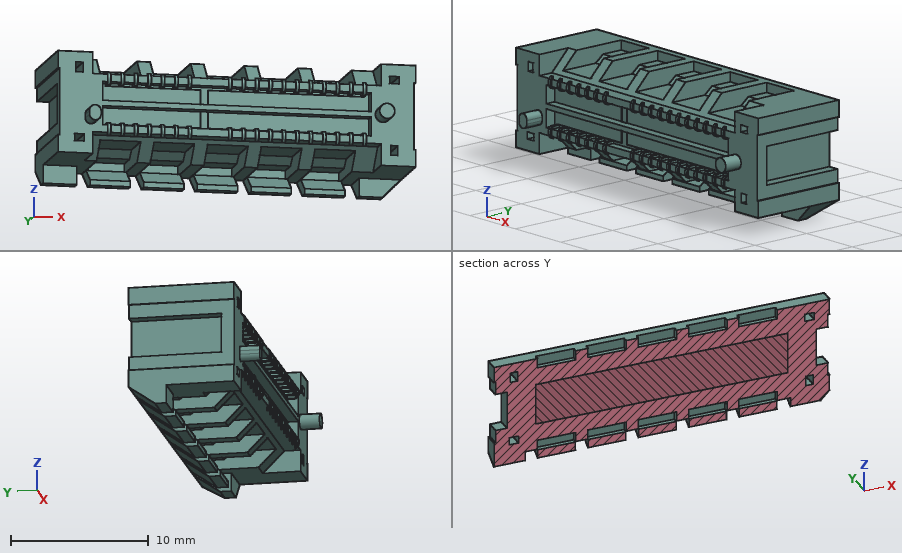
import cadquery as cq


LENGTH = 26.6
DEPTH = 7.82
HEIGHT = 7.5
MID_Z = HEIGHT / 2

END_BAND = 1.28
END_STEP = 0.13
END_POCKET_HEIGHT = 2.93
END_POCKET_DEPTH = 1.05
END_POCKET_FRONT = 0.95

RELIEF_LENGTH = 21.45
RELIEF_DEPTH = 1.6
LIP_DEPTH = 1.2
RELIEF_BACK = LIP_DEPTH + RELIEF_DEPTH
LIP_THICKNESS = 0.55

WINDOW_COUNT = 5
WINDOW_WIDTH = 3.0
WINDOW_PITCH = 4.0
WINDOW_ROW_X = -0.35
WINDOW_BACK = 7.13
WINDOW_STEP_BACK = 5.37
WINDOW_STEP_FRONT = 4.65
WINDOW_SHALLOW = 0.75
WINDOW_DEEP = 1.3

FOOT_HEIGHT = 1.35
FOOT_FRONT = 5.03
FOOT_TIP_BACK = 5.85
TAB_NOSE = 0.4
TAB_SLOPE = FOOT_HEIGHT / (DEPTH - FOOT_TIP_BACK)
TAB_ROOT_FRONT = FOOT_FRONT + (FOOT_HEIGHT - TAB_NOSE) / TAB_SLOPE
LEFT_FOOT_WIDTH = 2.5
RIGHT_FOOT_WIDTH = 3.1

HOLE_X = 11.7
HOLE_RISE = 2.6
HOLE_LONG = 0.72
HOLE_SHORT = 0.53

PEG_LENGTH = 1.5
PEG_DIAMETER = 1.12
PEG_X = 10.85
OVAL_PEG_WIDTH = 0.85
OVAL_PEG_DROP = 1.0

SLOT_LENGTH = 19.95
SLOT_DEPTH = 0.8
BAR_HEIGHT = 0.4
SLOT_OUTER = MID_Z - RELIEF_DEPTH - LIP_THICKNESS
LEDGE_HEIGHT = 0.19
LEDGE_RISE = 0.08
RIB_X = -2.25
RIB_WIDTH = 0.55

CONTACT_WIDTH = 0.25
CONTACT_POSITIONS = 20
CONTACT_SPAN = 19.0
CONTACT_PITCH = CONTACT_SPAN / (CONTACT_POSITIONS - 1)
EMPTY_POSITIONS = (7, 8)
LEDGE_LENGTH = CONTACT_SPAN + CONTACT_WIDTH
CONTACT_BULGE = 0.13
CONTACT_BACK = 0.15
CONTACT_OVERHANG = 0.19


def box(x_min, x_max, y_min, y_max, z_min, z_max):
    return cq.Workplane("XY").box(
        x_max - x_min, y_max - y_min, z_max - z_min, centered=False
    ).translate((x_min, y_min, z_min))


def side_prism(points, x_min, x_max):
    """Extrude a (y, z) outline along X."""
    return cq.Workplane("YZ").polyline(points).close().extrude(x_max - x_min).translate((x_min, 0, 0))


def top_and_bottom(upper):
    """Pair an upper shape with its mirror image about the middle height."""
    return upper.union(upper.mirror("XY", (0, 0, MID_Z)))


def both_ends(right):
    return right.union(right.mirror("YZ"))


def window_spans():
    """Left and right X of every latch window."""
    first = WINDOW_ROW_X - WINDOW_PITCH * (WINDOW_COUNT - 1) / 2
    centres = [first + i * WINDOW_PITCH for i in range(WINDOW_COUNT)]
    return [(x - WINDOW_WIDTH / 2, x + WINDOW_WIDTH / 2) for x in centres]


def end_cuts():
    right_end = LENGTH / 2
    step = box(right_end - END_STEP, right_end, 0, DEPTH, END_BAND, HEIGHT - END_BAND)
    pocket = box(
        right_end - END_POCKET_DEPTH, right_end,
        END_POCKET_FRONT, DEPTH,
        MID_Z - END_POCKET_HEIGHT / 2, MID_Z + END_POCKET_HEIGHT / 2,
    )
    return both_ends(step.union(pocket))


def lip_reliefs():
    outline = [
        (0, HEIGHT),
        (0, HEIGHT - RELIEF_DEPTH),
        (LIP_DEPTH, HEIGHT - RELIEF_DEPTH),
        (RELIEF_BACK, HEIGHT),
    ]
    return top_and_bottom(side_prism(outline, -RELIEF_LENGTH / 2, RELIEF_LENGTH / 2))


def windows():
    shallow_z = HEIGHT - WINDOW_SHALLOW
    deep_z = HEIGHT - WINDOW_DEEP
    outline = [
        (LIP_DEPTH, HEIGHT),
        (LIP_DEPTH, deep_z),
        (WINDOW_STEP_FRONT, deep_z),
        (WINDOW_STEP_BACK, shallow_z),
        (WINDOW_BACK, shallow_z),
        (WINDOW_BACK, HEIGHT),
    ]
    row = cq.Workplane()
    for left, right in window_spans():
        row = row.add(side_prism(outline, left, right))
    return top_and_bottom(row.combine())


def latch_tabs():
    outline = [
        (TAB_ROOT_FRONT, 0),
        (DEPTH, 0),
        (FOOT_TIP_BACK, -FOOT_HEIGHT),
        (FOOT_FRONT, -FOOT_HEIGHT),
        (FOOT_FRONT, TAB_NOSE - FOOT_HEIGHT),
    ]
    tabs = cq.Workplane()
    for left, right in window_spans():
        tabs = tabs.add(side_prism(outline, left, right))
    return tabs.combine()


def feet():
    outline = [
        (FOOT_FRONT, 0),
        (DEPTH, 0),
        (FOOT_TIP_BACK, -FOOT_HEIGHT),
        (FOOT_FRONT, -FOOT_HEIGHT),
    ]
    left_foot = side_prism(outline, -LENGTH / 2, -LENGTH / 2 + LEFT_FOOT_WIDTH)
    right_foot = side_prism(outline, LENGTH / 2 - RIGHT_FOOT_WIDTH, LENGTH / 2)
    corner = (
        cq.Workplane("XZ")
        .polyline([
            (LENGTH / 2, 0),
            (LENGTH / 2, -FOOT_HEIGHT),
            (LENGTH / 2 - FOOT_HEIGHT, -FOOT_HEIGHT),
        ])
        .close()
        .extrude(-DEPTH)
    )
    return left_foot.union(right_foot.cut(corner))


def corner_holes():
    """Two upright and two flat rectangular holes, alternating around the front face."""
    upright = [(-HOLE_X, MID_Z + HOLE_RISE), (HOLE_X, MID_Z - HOLE_RISE)]
    flat = [(HOLE_X, MID_Z + HOLE_RISE), (-HOLE_X, MID_Z - HOLE_RISE)]
    front = cq.Workplane("XZ")
    upright_holes = front.pushPoints(upright).rect(HOLE_SHORT, HOLE_LONG).extrude(-DEPTH)
    flat_holes = front.pushPoints(flat).rect(HOLE_LONG, HOLE_SHORT).extrude(-DEPTH)
    return upright_holes.union(flat_holes)


def pegs():
    front = cq.Workplane("XZ")
    round_peg = front.center(PEG_X, MID_Z).circle(PEG_DIAMETER / 2).extrude(PEG_LENGTH)
    oval_peg = (
        front.center(-PEG_X, MID_Z - OVAL_PEG_DROP)
        .slot2D(PEG_DIAMETER, OVAL_PEG_WIDTH, 90)
        .extrude(PEG_LENGTH)
    )
    return round_peg.union(oval_peg)


def front_slots():
    upper = box(
        -SLOT_LENGTH / 2, SLOT_LENGTH / 2,
        0, SLOT_DEPTH,
        MID_Z + BAR_HEIGHT / 2, MID_Z + SLOT_OUTER,
    )
    return top_and_bottom(upper)


def insert_block():
    return box(
        -SLOT_LENGTH / 2, SLOT_LENGTH / 2,
        SLOT_DEPTH, DEPTH,
        MID_Z - SLOT_OUTER, MID_Z + SLOT_OUTER,
    )


def ledges_and_ribs():
    """A low ledge behind the contacts along each lip, and a rib from it to the bar."""
    ledge = box(
        -LEDGE_LENGTH / 2, LEDGE_LENGTH / 2,
        SLOT_DEPTH - LEDGE_RISE, SLOT_DEPTH,
        MID_Z + SLOT_OUTER - LEDGE_HEIGHT, MID_Z + SLOT_OUTER,
    )
    rib = box(
        RIB_X - RIB_WIDTH / 2, RIB_X + RIB_WIDTH / 2,
        SLOT_DEPTH - LEDGE_RISE, SLOT_DEPTH,
        MID_Z + BAR_HEIGHT / 2, MID_Z + SLOT_OUTER,
    )
    return top_and_bottom(ledge.union(rib))


def contacts():
    """Strips from the insert along the inside of the lips, ending in a curve around the lip front."""
    lip_inside = MID_Z + SLOT_OUTER
    bottom = lip_inside - LEDGE_HEIGHT
    top = lip_inside + LIP_THICKNESS + CONTACT_OVERHANG
    profile = (
        cq.Workplane("YZ")
        .moveTo(SLOT_DEPTH, lip_inside)
        .lineTo(SLOT_DEPTH, bottom)
        .lineTo(CONTACT_BACK, bottom)
        .threePointArc((-CONTACT_BULGE, (bottom + top) / 2), (CONTACT_BACK, top))
        .lineTo(CONTACT_BACK, lip_inside)
        .close()
    )
    strip = profile.extrude(CONTACT_WIDTH / 2, both=True)
    row = cq.Workplane()
    for position in range(CONTACT_POSITIONS):
        if position not in EMPTY_POSITIONS:
            row = row.add(strip.translate((position * CONTACT_PITCH - CONTACT_SPAN / 2, 0, 0)))
    return top_and_bottom(row.combine())


contact_rows = contacts()

housing = (
    box(-LENGTH / 2, LENGTH / 2, 0, DEPTH, 0, HEIGHT)
    .cut(end_cuts())
    .cut(lip_reliefs())
    .cut(windows())
    .cut(corner_holes())
    .union(feet())
    .union(latch_tabs())
    .union(pegs())
    .cut(front_slots())
    .cut(insert_block())
    .cut(contact_rows)
)

contact_insert = insert_block().union(ledges_and_ribs()).union(contact_rows)

result = cq.Compound.makeCompound([housing.solids().val(), contact_insert.solids().val()])